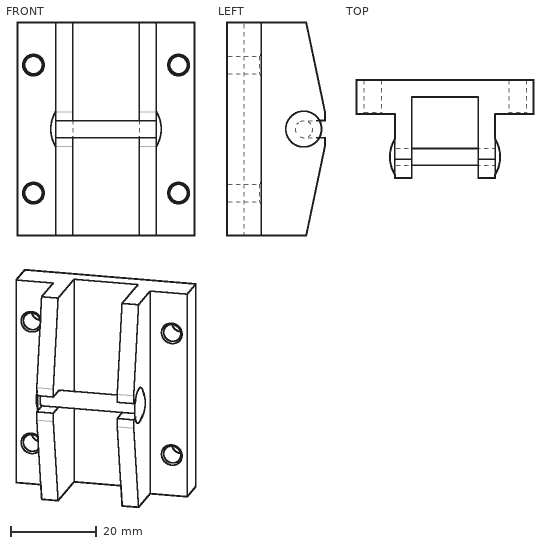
import cadquery as cq

width = 41.5
depth = 23
height = 50
back_y = depth / 2
front_y = -depth / 2

plate_thickness = 8
channel_floor = 4
cheek_thickness = 4
cheek_span = 23.5
channel_width = cheek_span - 2 * cheek_thickness

cheek_end_depth = 18.6
nose_height = 8

pin_diameter = 4
pin_setback = 5
pin_y = front_y + pin_setback
head_diameter = 8.4
head_height = 1.2

hole_diameter = 4.15
countersink_diameter = 5
countersink_angle = 90
hole_spacing_x = 34
hole_spacing_z = 30


def make_plate():
    """Flat mounting plate along the back."""
    return cq.Workplane("XY").box(width, plate_thickness, height).translate(
        (0, back_y - plate_thickness / 2, 0)
    )


def make_cheeks():
    """Block with the tapered cheek profile, as wide as both cheeks together."""
    taper_y = back_y - cheek_end_depth
    return (
        cq.Workplane("YZ")
        .moveTo(back_y, -height / 2)
        .lineTo(taper_y, -height / 2)
        .lineTo(front_y, -nose_height / 2)
        .lineTo(front_y, nose_height / 2)
        .lineTo(taper_y, height / 2)
        .lineTo(back_y, height / 2)
        .close()
        .extrude(cheek_span / 2, both=True)
    )


def make_channel():
    """Full-height cut that separates the two cheeks."""
    channel_depth = depth - channel_floor
    return cq.Workplane("XY").box(channel_width, channel_depth, height).translate(
        (0, front_y + channel_depth / 2, 0)
    )


def make_pin_slot():
    """Open slot through both cheeks, with a round end that seats the pin."""
    radius = pin_diameter / 2
    return (
        cq.Workplane("YZ")
        .moveTo(front_y, -radius)
        .lineTo(pin_y, -radius)
        .threePointArc((pin_y + radius, 0), (pin_y, radius))
        .lineTo(front_y, radius)
        .close()
        .extrude(cheek_span / 2, both=True)
    )


def make_bracket():
    """Plate and cheeks, with the channel, the pin slot and the mounting holes."""
    bracket = make_plate().union(make_cheeks()).cut(make_channel()).cut(make_pin_slot())
    plate_front = cq.Plane(
        origin=(0, back_y - plate_thickness, 0), xDir=(1, 0, 0), normal=(0, -1, 0)
    )
    return (
        bracket.copyWorkplane(cq.Workplane(plate_front))
        .rarray(hole_spacing_x, hole_spacing_z, 2, 2)
        .cskHole(hole_diameter, countersink_diameter, countersink_angle)
    )


def make_pin():
    """Round pin with a domed head against the outer face of each cheek."""
    shank_end = cheek_span / 2
    pin_end = shank_end + head_height
    shank_radius = pin_diameter / 2
    head_radius = head_diameter / 2
    dome_radius = (head_radius**2 + head_height**2) / (2 * head_height)
    dome_center = pin_end - dome_radius
    mid_radius = head_radius / 2
    mid_x = dome_center + (dome_radius**2 - mid_radius**2) ** 0.5
    return (
        cq.Workplane("XY")
        .moveTo(-pin_end, 0)
        .threePointArc((-mid_x, -mid_radius), (-shank_end, -head_radius))
        .lineTo(-shank_end, -shank_radius)
        .lineTo(shank_end, -shank_radius)
        .lineTo(shank_end, -head_radius)
        .threePointArc((mid_x, -mid_radius), (pin_end, 0))
        .close()
        .revolve(360, (0, 0, 0), (1, 0, 0))
        .translate((0, pin_y, 0))
    )


bracket = make_bracket()
pin = make_pin()

result = cq.Compound.makeCompound([bracket.solids().val(), pin.solids().val()])